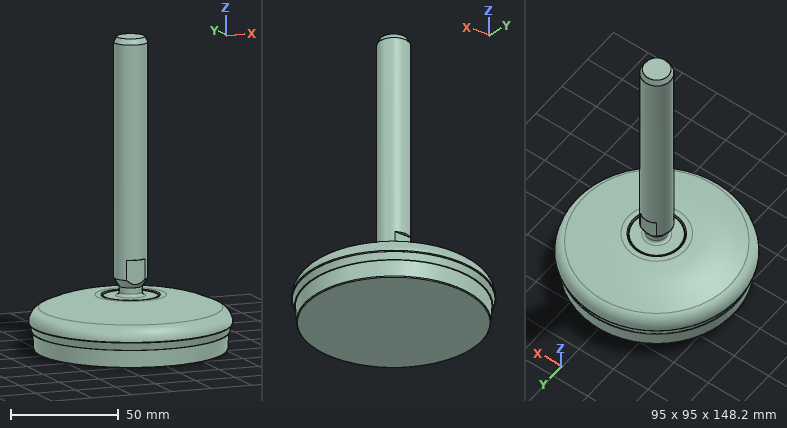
import cadquery as cq
import math

total_height = 148.2
foot_diameter = 95.0
foot_top = 26.0

pad_bottom_radius = 45.2
pad_waist_radius = 45.7
pad_edge_chamfer = 0.5
collar_bottom = 8.6
collar_bottom_radius = 46.1
collar_top_radius = 47.1
pad_top = 12.3

rim_bevel = 0.5
dome_edge_radius = 42.8
dome_edge_height = 20.0
flat_top_radius = 16.6
socket_diameter = 26.5
socket_mouth_diameter = 27.5
socket_depth = 3.0

flange_top = 25.6
flange_chamfer = 0.5
neck_diameter = 10.8
neck_fillet_diameter = 14.0
rod_diameter = 16.0
cone_bottom = 30.1
cone_top = 34.1
rod_tip_diameter = 13.3
rod_tip_length = 2.7

flats_width = 13.0
flats_top = 43.6

foot_radius = foot_diameter / 2
rod_radius = rod_diameter / 2
flange_radius = socket_diameter / 2
socket_floor = foot_top - socket_depth


def revolve(profile):
    """Turn a closed (radius, height) profile around the Z axis."""
    return profile.close().revolve(360, (0, 0, 0), (0, 1, 0))


def middle_of_arc(center, radius, start_angle, end_angle):
    """Point halfway along an arc; angles are in radians."""
    angle = (start_angle + end_angle) / 2
    return (center[0] + radius * math.cos(angle), center[1] + radius * math.sin(angle))


def make_pad():
    profile = (
        cq.Workplane("XZ")
        .lineTo(pad_bottom_radius - pad_edge_chamfer, 0)
        .lineTo(pad_bottom_radius, pad_edge_chamfer)
        .lineTo(pad_waist_radius, collar_bottom)
        .lineTo(collar_bottom_radius, collar_bottom)
        .lineTo(collar_top_radius, pad_top)
        .lineTo(0, pad_top)
    )
    return revolve(profile)


def make_cover():
    rim_start = pad_top + rim_bevel
    rim_width = foot_radius - dome_edge_radius
    rim_height = dome_edge_height - rim_start
    rim_radius = (rim_width**2 + rim_height**2) / (2 * rim_width)
    rim_center = (foot_radius - rim_radius, rim_start)
    rim_end_angle = math.asin(rim_height / rim_radius)
    rim_middle = middle_of_arc(rim_center, rim_radius, 0, rim_end_angle)

    dome_width = dome_edge_radius - flat_top_radius
    dome_height = foot_top - dome_edge_height
    dome_radius = (dome_width**2 + dome_height**2) / (2 * dome_height)
    dome_center = (flat_top_radius, foot_top - dome_radius)
    dome_start_angle = math.acos(dome_width / dome_radius)
    dome_middle = middle_of_arc(dome_center, dome_radius, dome_start_angle, math.pi / 2)

    socket_chamfer = (socket_mouth_diameter - socket_diameter) / 2
    profile = (
        cq.Workplane("XZ")
        .moveTo(0, pad_top)
        .lineTo(foot_radius - rim_bevel, pad_top)
        .lineTo(foot_radius, rim_start)
        .threePointArc(rim_middle, (dome_edge_radius, dome_edge_height))
        .threePointArc(dome_middle, (flat_top_radius, foot_top))
        .lineTo(socket_mouth_diameter / 2, foot_top)
        .lineTo(socket_diameter / 2, foot_top - socket_chamfer)
        .lineTo(socket_diameter / 2, socket_floor)
        .lineTo(0, socket_floor)
    )
    return revolve(profile)


def make_stem():
    neck_radius = neck_diameter / 2
    fillet_outer_radius = neck_fillet_diameter / 2
    fillet_radius = fillet_outer_radius - neck_radius
    fillet_top = flange_top + fillet_radius
    fillet_middle = middle_of_arc(
        (fillet_outer_radius, fillet_top), fillet_radius, math.pi, 1.5 * math.pi
    )
    profile = (
        cq.Workplane("XZ")
        .moveTo(0, socket_floor)
        .lineTo(flange_radius, socket_floor)
        .lineTo(flange_radius, flange_top - flange_chamfer)
        .lineTo(flange_radius - flange_chamfer, flange_top)
        .lineTo(fillet_outer_radius, flange_top)
        .threePointArc(fillet_middle, (neck_radius, fillet_top))
        .lineTo(neck_radius, cone_bottom)
        .lineTo(rod_radius, cone_top)
        .lineTo(rod_radius, total_height - rod_tip_length)
        .lineTo(rod_tip_diameter / 2, total_height)
        .lineTo(0, total_height)
    )
    stem = revolve(profile)

    flats_length = flats_top - cone_bottom
    for side in (-1, 1):
        cutter = (
            cq.Workplane("XY", origin=(0, side * (flats_width + rod_diameter) / 2, cone_bottom))
            .box(rod_diameter, rod_diameter, flats_length, centered=(True, True, False))
        )
        stem = stem.cut(cutter)
    return stem


pad = make_pad()
cover = make_cover()
stem = make_stem()

result = cq.Compound.makeCompound([pad.val(), cover.val(), stem.val()])